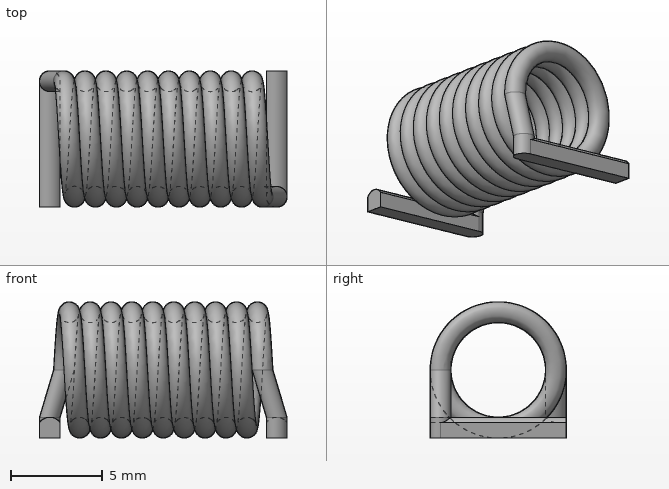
import cadquery as cq
import math

overall_length = 13.6
overall_width = 7.5
wire_diameter = 1.14
turns = 9.5
coil_length = 10.91
foot_top = -2.6
foot_height = 1.14
foot_shoulder_drop = 0.3

wire_radius = wire_diameter / 2
coil_radius = overall_width / 2 - wire_radius
pitch = coil_length / turns
coil_start_x = -coil_length / 2
foot_x = -(overall_length / 2 - wire_radius)
foot_bottom = foot_top - foot_height


def make_coil():
    """Sweep the round wire along a helix from the back (+Y), over the top, to the front."""
    helix = cq.Wire.makeHelix(pitch, coil_length, coil_radius)
    helix = helix.rotate(cq.Vector(0, 0, 0), cq.Vector(0, 1, 0), 90)
    helix = helix.rotate(cq.Vector(0, 0, 0), cq.Vector(1, 0, 0), 90)
    helix = helix.translate(cq.Vector(coil_start_x, 0, 0))
    start_plane = cq.Plane(
        origin=(coil_start_x, coil_radius, 0), xDir=(1, 0, 0), normal=(0, 0, 1)
    )
    return cq.Workplane(start_plane).circle(wire_radius).sweep(cq.Workplane(helix), isFrenet=True)


def make_leg():
    """Slanted leg with horizontal circular ends, from the coil start down to the foot."""
    return (
        cq.Workplane("XY", origin=(coil_start_x, coil_radius, 0))
        .circle(wire_radius)
        .workplane(offset=foot_top)
        .center(foot_x - coil_start_x, 0)
        .circle(wire_radius)
        .loft(ruled=True)
    )


def make_foot():
    """Flat-bottomed bar along Y with a crowned top and a round end below the leg."""
    shoulder = foot_top - foot_shoulder_drop
    bar = (
        cq.Workplane("XZ", origin=(foot_x, coil_radius, 0))
        .moveTo(-wire_radius, foot_bottom)
        .lineTo(wire_radius, foot_bottom)
        .lineTo(wire_radius, shoulder)
        .threePointArc((0, foot_top), (-wire_radius, shoulder))
        .close()
        .extrude(coil_radius + overall_width / 2)
    )
    round_end = (
        cq.Workplane("XY", origin=(foot_x, coil_radius, foot_bottom))
        .circle(wire_radius)
        .extrude(foot_height)
    )
    return bar.union(round_end)


terminal = make_leg().union(make_foot())
opposite_terminal = terminal.rotate((0, 0, 0), (0, 0, 1), 180)
result = make_coil().union(terminal).union(opposite_terminal)